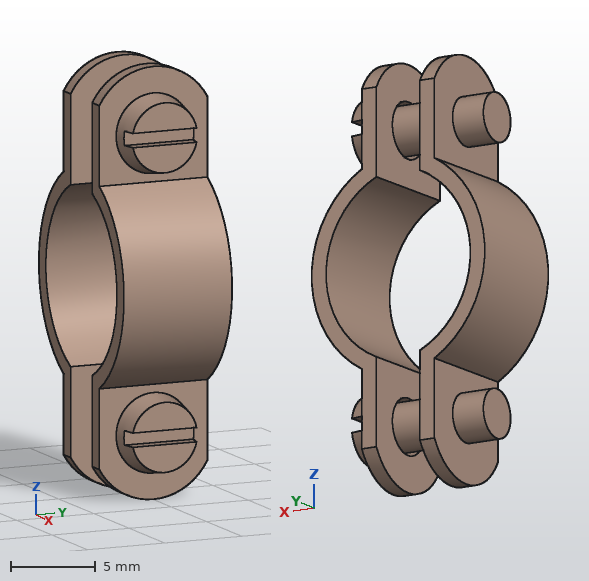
import cadquery as cq
import math

length = 25.97
width = 7.0
overall_x = 12.08
thickness = 1.0
arch_outer_x = overall_x / 2
arch_inner_x = arch_outer_x - thickness
arch_outer_radius = 7.0
arch_inner_radius = arch_outer_radius - thickness
arch_center_x = arch_outer_x - arch_outer_radius
gap = 3.05
tab_inner_x = gap / 2
tab_outer_x = tab_inner_x + thickness
tab_end_radius = 4.0
screw_z = length / 2 - tab_end_radius

shank_radius = 1.5
shank_tip_x = -4.67
clearance_hole_radius = 1.75
head_height = 1.6
head_base_radius = 2.42
head_top_radius = 2.1
head_top_x = tab_outer_x + head_height
slot_width = 0.85
slot_depth = 0.83


def rounded_envelope():
    """Prism along X with rounded ends that shapes both ends of the strap."""
    half_width = width / 2
    shoulder_z = screw_z + math.sqrt(tab_end_radius**2 - half_width**2)
    return (
        cq.Workplane("YZ")
        .moveTo(-half_width, -shoulder_z)
        .threePointArc((0, -length / 2), (half_width, -shoulder_z))
        .lineTo(half_width, shoulder_z)
        .threePointArc((0, length / 2), (-half_width, shoulder_z))
        .close()
        .extrude(arch_outer_x, both=True)
    )


def clamp_half(side, hole_radius):
    """Strap with an arched middle and two flat tabs; side is +1 or -1 along X."""
    inner_z = math.sqrt(arch_inner_radius**2 - (tab_inner_x - arch_center_x)**2)
    outer_z = math.sqrt(arch_outer_radius**2 - (tab_outer_x - arch_center_x)**2)
    strap = (
        cq.Workplane("XZ")
        .moveTo(side * tab_inner_x, length / 2)
        .lineTo(side * tab_inner_x, inner_z)
        .threePointArc((side * arch_inner_x, 0), (side * tab_inner_x, -inner_z))
        .lineTo(side * tab_inner_x, -length / 2)
        .lineTo(side * tab_outer_x, -length / 2)
        .lineTo(side * tab_outer_x, -outer_z)
        .threePointArc((side * arch_outer_x, 0), (side * tab_outer_x, outer_z))
        .lineTo(side * tab_outer_x, length / 2)
        .close()
        .extrude(width / 2, both=True)
    )
    holes = (
        cq.Workplane("YZ")
        .pushPoints([(0, screw_z), (0, -screw_z)])
        .circle(hole_radius)
        .extrude(arch_outer_x, both=True)
    )
    return strap.intersect(rounded_envelope()).cut(holes)


def slotted_screw(z):
    """Screw along X with a tapered head, slotted along Y."""
    body = (
        cq.Workplane("XY")
        .moveTo(shank_tip_x, 0)
        .lineTo(shank_tip_x, shank_radius)
        .lineTo(tab_outer_x, shank_radius)
        .lineTo(tab_outer_x, head_base_radius)
        .lineTo(head_top_x, head_top_radius)
        .lineTo(head_top_x, 0)
        .close()
        .revolve(360, (0, 0, 0), (1, 0, 0))
    )
    slot = cq.Workplane("XY").box(2 * slot_depth, 2 * head_base_radius, slot_width)
    return body.cut(slot.translate((head_top_x, 0, 0))).translate((0, 0, z))


clamp_halves = [clamp_half(-1, shank_radius), clamp_half(1, clearance_hole_radius)]
screws = [slotted_screw(z) for z in (-screw_z, screw_z)]

result = cq.Compound.makeCompound([body.val() for body in clamp_halves + screws])